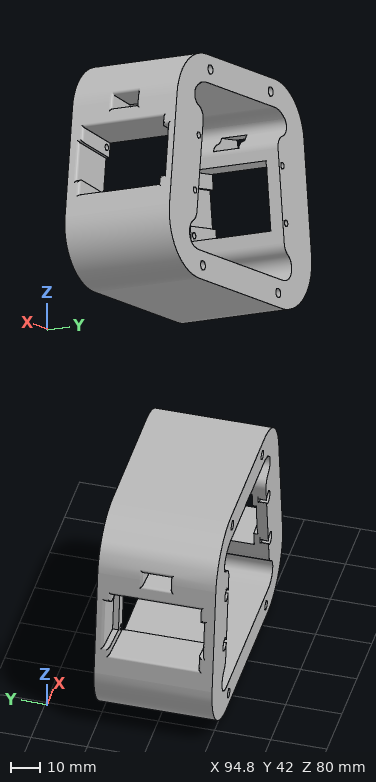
import cadquery as cq
import math

depth = 42.0
height = 80.0
corner_radius = 20.0
top_center_x = 22.3
bottom_center_x = 27.4
corner_center_z = height / 2 - corner_radius

rim = 10.0
side_thickness = 18
top_lobe_radius = 7.5 / 2
top_lobe_shift = 4.4
top_blend_radius = 4.5
bottom_lobe_radius = 5.0
bottom_lobe_shift = 1.5
bottom_blend_radius = 5.0

mouth_fillet = 1.0
window_width = 31.8
window_height = 24.3
back_notch_reach = 18
back_notch_height = 18.4
back_notch_depth = 12.5
front_notch_reach = 17.2
front_notch_height = 13.6
port_width = 10.0
port_height = 5.0
port_offset = 20.3

cut_clearance = 0.9
through_depth = side_thickness + cut_clearance
skin_tolerance = 0.5

frame_hole_diameter = 3.2
frame_hole_edge = rim / 2
top_frame_hole_x = 20.0
bottom_frame_hole_x = 25.0
panel_hole_diameter = 2.2
panel_bore_diameter = 4.5
panel_bore_depth = 3.0
panel_hole_spacing = 20.0
panel_hole_inset = 2.2
panel_mid_z = 0.5

slope = math.atan2(bottom_center_x - top_center_x, 2 * corner_center_z)
normal = (math.cos(slope), math.sin(slope))
uphill = (-math.sin(slope), math.cos(slope))


def shifted(point, direction, distance):
    return (point[0] + direction[0] * distance, point[1] + direction[1] * distance)


def toward(start, end, distance):
    """Point on the ray from start through end, at the given distance from start."""
    length = math.dist(start, end)
    return shifted(start, ((end[0] - start[0]) / length, (end[1] - start[1]) / length), distance)


def across(point):
    """Distance of a point from the origin, measured square to the side wall."""
    return point[0] * normal[0] + point[1] * normal[1]


def along(point):
    """Distance of a point from the origin, measured up the slope of the side wall."""
    return point[0] * uphill[0] + point[1] * uphill[1]


def mirrored(point):
    return (-point[0], point[1])


def arc_middle(center, radius, start, end):
    """Middle of the shorter arc from start to end."""
    return toward(center, ((start[0] + end[0]) / 2, (start[1] + end[1]) / 2), radius)


top_center = (top_center_x, corner_center_z)
bottom_center = (bottom_center_x, -corner_center_z)
outer_face = across(top_center) + corner_radius
inner_face = outer_face - side_thickness


def frame_body():
    top_tangent = shifted(top_center, normal, corner_radius)
    bottom_tangent = shifted(bottom_center, normal, corner_radius)
    top_end = (top_center_x, height / 2)
    bottom_end = (bottom_center_x, -height / 2)
    top_middle = arc_middle(top_center, corner_radius, top_end, top_tangent)
    bottom_middle = arc_middle(bottom_center, corner_radius, bottom_tangent, bottom_end)
    return (
        cq.Workplane("XZ", origin=(0, depth / 2, 0))
        .moveTo(*mirrored(top_end))
        .lineTo(*top_end)
        .threePointArc(top_middle, top_tangent)
        .lineTo(*bottom_tangent)
        .threePointArc(bottom_middle, bottom_end)
        .lineTo(*mirrored(bottom_end))
        .threePointArc(mirrored(bottom_middle), mirrored(bottom_tangent))
        .lineTo(*mirrored(top_tangent))
        .threePointArc(mirrored(top_middle), mirrored(top_end))
        .close()
        .extrude(depth)
    )


def corner_arcs(corner_center, lobe_offset_x, lobe_radius, blend_radius, side):
    """Arcs of one cavity corner as (middle, end) pairs, from the flat rim to the side wall.

    A corner arc runs into a tighter lobe, and a blend arc curves back onto the
    inner side face. side is 1 at the top and -1 at the bottom.
    """
    arc_radius = corner_radius - rim
    center_gap = arc_radius - lobe_radius
    lobe_rise = side * math.sqrt(center_gap**2 - lobe_offset_x**2)
    lobe_center = (corner_center[0] + lobe_offset_x, corner_center[1] + lobe_rise)

    blend_across = inner_face + blend_radius - across(lobe_center)
    blend_along = math.sqrt((lobe_radius + blend_radius) ** 2 - blend_across**2)
    blend_center = shifted(shifted(lobe_center, normal, blend_across), uphill, -side * blend_along)

    rim_end = (corner_center[0], corner_center[1] + side * arc_radius)
    lobe_start = toward(corner_center, lobe_center, arc_radius)
    lobe_end = toward(lobe_center, blend_center, lobe_radius)
    lobe_middle = shifted(lobe_center, (1, 0), lobe_radius)
    wall_start = shifted(blend_center, normal, -blend_radius)
    return rim_end, [
        (arc_middle(corner_center, arc_radius, rim_end, lobe_start), lobe_start),
        (lobe_middle, lobe_end),
        (arc_middle(blend_center, blend_radius, lobe_end, wall_start), wall_start),
    ]


def cavity():
    rim_top, top_arcs = corner_arcs(
        top_center, top_lobe_shift, top_lobe_radius, top_blend_radius, 1
    )
    rim_bottom, bottom_arcs = corner_arcs(
        bottom_center, bottom_lobe_shift, bottom_lobe_radius, bottom_blend_radius, -1
    )
    half = cq.Workplane("XZ", origin=(0, depth / 2, 0))
    half = half.moveTo(0, rim_top[1]).lineTo(*rim_top)
    for middle, end in top_arcs:
        half = half.threePointArc(middle, end)

    (corner_middle, lobe_start), (lobe_middle, lobe_end), (blend_middle, wall_start) = bottom_arcs
    half = (
        half.lineTo(*wall_start)
        .threePointArc(blend_middle, lobe_end)
        .threePointArc(lobe_middle, lobe_start)
        .threePointArc(corner_middle, rim_bottom)
        .lineTo(0, rim_bottom[1])
        .close()
        .extrude(depth)
    )
    return half.union(half.mirror("YZ"))


hole_across = inner_face + panel_hole_inset
panel_mid = ((hole_across - panel_mid_z * normal[1]) / normal[0], panel_mid_z)
window_center = shifted(panel_mid, normal, outer_face - hole_across)


def side_cut(y_min, y_max, center_offset, slope_height, cut_depth):
    """Box cut square into the right-hand side wall, starting just outside it."""
    center = shifted(window_center, uphill, center_offset)
    face = cq.Plane(
        origin=(center[0], 0, center[1]), xDir=(0, 1, 0), normal=(normal[0], 0, normal[1])
    )
    return (
        cq.Workplane(face)
        .workplane(offset=cut_clearance)
        .center((y_min + y_max) / 2, 0)
        .rect(y_max - y_min, slope_height)
        .extrude(-cut_depth - cut_clearance)
    )


def side_openings():
    """Panel window with its two notches, and the small port above it."""
    half_window = window_width / 2
    half_port = port_width / 2
    return (
        side_cut(-half_window, half_window, 0, window_height, through_depth)
        .union(side_cut(0, back_notch_reach, 0, back_notch_height, back_notch_depth))
        .union(side_cut(-front_notch_reach, 0, 0, front_notch_height, through_depth))
        .union(side_cut(-half_port, half_port, port_offset, port_height, through_depth))
    )


def is_mouth_edge(edge):
    """True for the edges where an opening meets the outer skin, on either side."""
    center = edge.Center()
    point = (abs(center.x), center.z)
    rise = along(point) - along(window_center)
    on_skin = across(point) > outer_face - skin_tolerance
    off_rims = abs(center.y) < depth / 2 - skin_tolerance
    in_window = off_rims and abs(rise) < window_height / 2 + skin_tolerance
    in_port = rise > 0 and abs(center.y) < port_width / 2 + skin_tolerance
    return on_skin and (in_window or in_port)


def hole(x, z, diameter, length):
    """Cylinder running back from the -Y face."""
    return (
        cq.Workplane("XZ", origin=(0, -depth / 2, 0))
        .center(x, z)
        .circle(diameter / 2)
        .extrude(-length)
    )


openings = side_openings()
body = frame_body().cut(openings).cut(openings.mirror("YZ"))
body = body.edges().filter(is_mouth_edge).fillet(mouth_fillet)
body = body.cut(cavity())

frame_hole_z = height / 2 - frame_hole_edge
for side in (-1, 1):
    for x, z in ((top_frame_hole_x, frame_hole_z), (bottom_frame_hole_x, -frame_hole_z)):
        body = body.cut(hole(side * x, z, frame_hole_diameter, depth))
    for end in (-1, 1):
        x, z = shifted(panel_mid, uphill, end * panel_hole_spacing / 2)
        body = body.cut(hole(side * x, z, panel_hole_diameter, depth))
        body = body.cut(hole(side * x, z, panel_bore_diameter, panel_bore_depth))

result = body